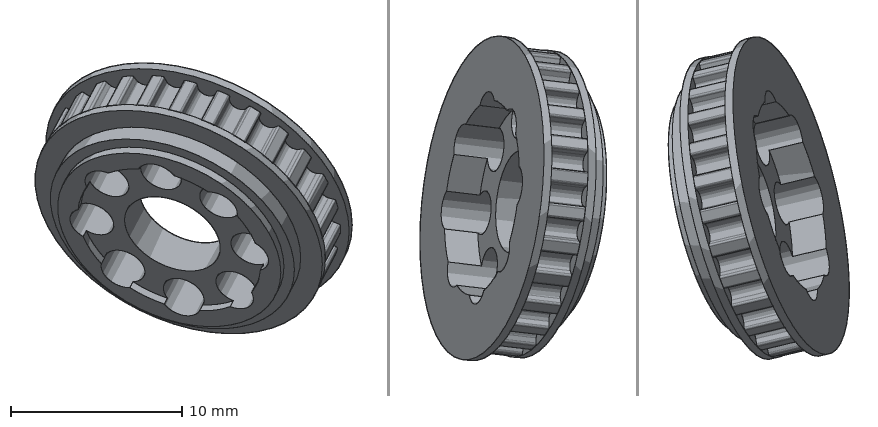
import cadquery as cq
import math


rim_diameter = 14.0
hub_diameter = 15.32
small_flange_diameter = 18.04
large_flange_diameter = 19.03
toothed_diameter = 17.96

total_length = 5.0
step_thickness = total_length / 10
rim_length = step_thickness
hub_length = 2 * step_thickness
small_flange_length = step_thickness
toothed_length = 5 * step_thickness
large_flange_length = step_thickness

bore_diameter = 6.0
recess_diameter = 11.45
front_recess_depth = step_thickness
web_thickness = 2.4

hole_count = 8
hole_diameter = 2.55
hole_ring_radius = 5.0
first_hole_angle = 8.2

tooth_count = 27
first_groove_angle = 179.5
groove_depth = 0.78
groove_mouth_width = 1.48
tooth_tip_radius = 0.13
groove_root_width = 1.05
groove_flank_depth = 0.45

hub_start = rim_length
small_flange_start = hub_start + hub_length
teeth_start = small_flange_start + small_flange_length
large_flange_start = teeth_start + toothed_length
back_recess_start = front_recess_depth + web_thickness


def plane_at(y):
    """Plane across the axis with local +X along X, local +Y along Z and its normal along -Y."""
    return cq.Workplane("XZ", origin=(0, y, 0))


def disc(diameter, start, length):
    """Cylinder about the axis, growing in +Y from the given position."""
    return plane_at(start).circle(diameter / 2).extrude(-length)


def make_body():
    body = disc(rim_diameter, 0, rim_length)
    body = body.union(disc(hub_diameter, hub_start, hub_length))
    body = body.union(disc(small_flange_diameter, small_flange_start, small_flange_length))
    body = body.union(disc(toothed_diameter, teeth_start, toothed_length))
    return body.union(disc(large_flange_diameter, large_flange_start, large_flange_length))


def make_groove():
    """One belt groove pointing along +X: rounded mouth, slightly tapered flanks and an arc root."""
    tip_radius = toothed_diameter / 2
    half_mouth = groove_mouth_width / 2
    mouth_x = math.sqrt(tip_radius**2 - half_mouth**2)
    root_x = tip_radius - groove_depth
    half_root = groove_root_width / 2
    root_edge_x = tip_radius - groove_flank_depth

    flank_x = mouth_x - tooth_tip_radius
    half_throat = half_mouth - tooth_tip_radius
    tip_bulge = tooth_tip_radius * math.sqrt(0.5)
    tip_mid_x = flank_x + tip_bulge
    tip_mid_z = half_mouth - tip_bulge

    outer_x = large_flange_diameter / 2

    return (
        plane_at(teeth_start)
        .moveTo(outer_x, half_mouth)
        .lineTo(mouth_x, half_mouth)
        .threePointArc((tip_mid_x, tip_mid_z), (flank_x, half_throat))
        .lineTo(root_edge_x, half_root)
        .threePointArc((root_x, 0), (root_edge_x, -half_root))
        .lineTo(flank_x, -half_throat)
        .threePointArc((tip_mid_x, -tip_mid_z), (mouth_x, -half_mouth))
        .lineTo(outer_x, -half_mouth)
        .close()
        .extrude(-toothed_length)
    )


def cut_grooves(body):
    groove = make_groove()
    pitch_angle = 360 / tooth_count
    cutters = cq.Workplane("XZ")
    for index in range(tooth_count):
        angle = first_groove_angle + index * pitch_angle
        cutters = cutters.add(groove.rotate((0, 0, 0), (0, 1, 0), -angle))
    return body.cut(cq.Workplane(cq.Compound.makeCompound(cutters.vals())))


def cut_recesses_and_bore(body):
    body = body.cut(disc(recess_diameter, 0, front_recess_depth))
    body = body.cut(disc(recess_diameter, back_recess_start, total_length - back_recess_start))
    return body.cut(disc(bore_diameter, 0, total_length))


def cut_lightening_holes(body):
    holes = (
        plane_at(0)
        .polarArray(hole_ring_radius, first_hole_angle, 360, hole_count)
        .circle(hole_diameter / 2)
        .extrude(-total_length)
    )
    return body.cut(holes)


result = cut_lightening_holes(cut_recesses_and_bore(cut_grooves(make_body())))